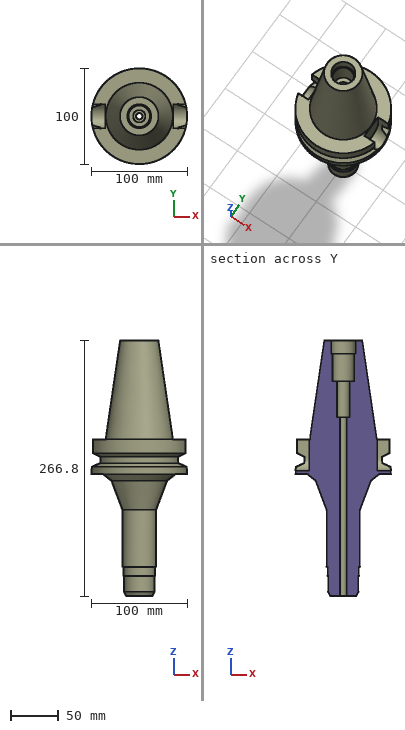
import cadquery as cq

total_length = 266.8

taper_small_radius = 20.0
taper_large_radius = 35.0
gauge_z = 165.1

flange_radius = 50.02
flange_top_z = 163.5
flange_bottom_z = 127.3
groove_radius = 42.5
groove_upper_edge_z = 149.1
groove_floor_top_z = 145.1
groove_floor_bottom_z = 138.7
groove_lower_edge_z = 135.0

neck_top_radius = 38.0
neck_middle_radius = 29.0
neck_middle_z = 120.3
neck_bottom_z = 90.0

stem_radius = 17.5
stem_bottom_z = 31.0
collar_radius = 16.5
collar_bottom_z = 21.3
nose_radius = 16.0
nose_tip_radius = 13.5
nose_chamfer_height = 4.5
step_bevel = 0.5

slot_width = 25.0
slot_floor_distance = 35.5
slot_bottom_z = 131.3

bore_mouth_radius = 12.5
bore_mouth_depth = 14.0
bore_thread_radius = 11.2
bore_thread_depth = 42.7
bore_inner_radius = 6.5
bore_inner_depth = 80.0
through_hole_radius = 3.2


def make_body():
    """Revolve the outer profile, given as (radius, z) from the nose up."""
    profile = [
        (0, 0),
        (nose_tip_radius, 0),
        (nose_radius, nose_chamfer_height),
        (nose_radius, collar_bottom_z - step_bevel),
        (collar_radius, collar_bottom_z),
        (collar_radius, stem_bottom_z - step_bevel),
        (stem_radius, stem_bottom_z),
        (stem_radius, neck_bottom_z),
        (neck_middle_radius, neck_middle_z),
        (neck_top_radius, flange_bottom_z),
        (flange_radius, flange_bottom_z),
        (flange_radius, groove_lower_edge_z),
        (groove_radius, groove_floor_bottom_z),
        (groove_radius, groove_floor_top_z),
        (flange_radius, groove_upper_edge_z),
        (flange_radius, flange_top_z),
        (taper_large_radius, flange_top_z),
        (taper_large_radius, gauge_z),
        (taper_small_radius, total_length),
        (0, total_length),
    ]
    return cq.Workplane("XZ").polyline(profile).close().revolve(360, (0, 0), (0, 1))


def make_drive_slot(side):
    """Round-bottomed slot cutter; side is +1 for +X and -1 for -X."""
    half_width = slot_width / 2
    arc_center_z = slot_bottom_z + half_width
    return (
        cq.Workplane("YZ", origin=(side * slot_floor_distance, 0, 0))
        .moveTo(-half_width, flange_top_z)
        .lineTo(-half_width, arc_center_z)
        .threePointArc((0, slot_bottom_z), (half_width, arc_center_z))
        .lineTo(half_width, flange_top_z)
        .close()
        .extrude(side * flange_radius)
    )


def make_bore(radius, depth):
    """Cylindrical cutter sunk from the small end of the taper."""
    return cq.Workplane("XY", origin=(0, 0, total_length - depth)).circle(radius).extrude(depth)


result = make_body()

for side in (1, -1):
    result = result.cut(make_drive_slot(side))

for radius, depth in (
    (bore_mouth_radius, bore_mouth_depth),
    (bore_thread_radius, bore_thread_depth),
    (bore_inner_radius, bore_inner_depth),
    (through_hole_radius, total_length),
):
    result = result.cut(make_bore(radius, depth))